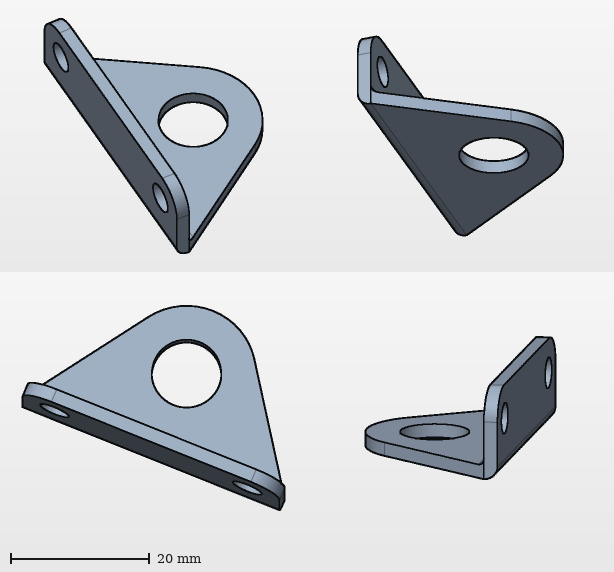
import cadquery as cq
import math

width = 40.0
depth = 23.5
height = 13.0
thickness = 2.0
outer_bend_radius = 2.0
inner_bend_radius = 1.0

corner_radius = 4.5
mount_hole_diameter = 4.5
mount_hole_spacing = 30.0
mount_hole_height = 8.0

tab_radius = 10.0
eye_diameter = 10.0
eye_y = depth - tab_radius


def bent_sheet():
    """L-shaped sheet, full width, with a rounded bend."""
    return (
        cq.Workplane("YZ")
        .moveTo(outer_bend_radius, 0)
        .lineTo(depth, 0)
        .lineTo(depth, thickness)
        .lineTo(thickness + inner_bend_radius, thickness)
        .radiusArc((thickness, thickness + inner_bend_radius), inner_bend_radius)
        .lineTo(thickness, height)
        .lineTo(0, height)
        .lineTo(0, outer_bend_radius)
        .radiusArc((outer_bend_radius, 0), -outer_bend_radius)
        .close()
        .extrude(width / 2, both=True)
    )


def plan_outline():
    """Prism over the plan shape: sides run tangent from the flange to the tab arc."""
    half_width = width / 2
    rise = thickness - eye_y
    corner_angle = math.atan2(rise, half_width)
    tangent_angle = corner_angle + math.acos(tab_radius / math.hypot(half_width, rise))
    tangent_x = tab_radius * math.cos(tangent_angle)
    tangent_y = eye_y + tab_radius * math.sin(tangent_angle)
    return (
        cq.Workplane("XY")
        .moveTo(-half_width, 0)
        .lineTo(half_width, 0)
        .lineTo(half_width, thickness)
        .lineTo(tangent_x, tangent_y)
        .threePointArc((0, depth), (-tangent_x, tangent_y))
        .lineTo(-half_width, thickness)
        .close()
        .extrude(height)
    )


def mount_holes():
    """Pair of cutters through the upright flange."""
    half_spacing = mount_hole_spacing / 2
    return (
        cq.Workplane("XZ")
        .pushPoints([(-half_spacing, mount_hole_height), (half_spacing, mount_hole_height)])
        .circle(mount_hole_diameter / 2)
        .extrude(-thickness)
    )


def eye_hole():
    """Cutter for the large hole, concentric with the tab arc."""
    return cq.Workplane("XY").center(0, eye_y).circle(eye_diameter / 2).extrude(thickness)


bracket = bent_sheet().intersect(plan_outline())
bracket = bracket.edges("|Y and >Z").edges("<X or >X").fillet(corner_radius)
result = bracket.cut(mount_holes()).cut(eye_hole())